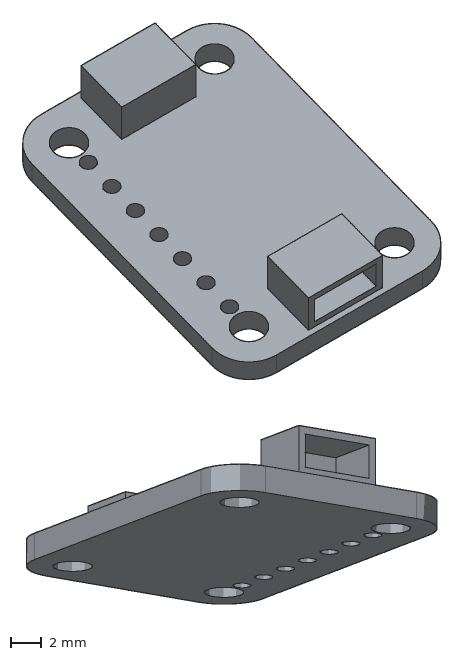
import cadquery as cq

board_length = 25.4
board_width = 17.78
board_thickness = 1.78
total_height = 5.03
corner_radius = 3.0

mount_hole_diameter = 2.55
mount_spacing_x = board_length - 2 * corner_radius
mount_spacing_y = board_width - 2 * corner_radius

pin_count = 7
pin_pitch = 2.55
pin_hole_diameter = 1.17

connector_length = 4.4
connector_width = 6.0
connector_height = total_height - board_thickness
connector_inset = 0.43
connector_wall = 0.5
socket_depth = connector_length - connector_wall


def make_board():
    """Rounded plate with four mounting holes and a row of pin holes."""
    plate = (
        cq.Workplane("XY")
        .rect(board_length, board_width)
        .extrude(board_thickness)
        .edges("|Z")
        .fillet(corner_radius)
    )
    mount_holes = (
        cq.Workplane("XY")
        .rect(mount_spacing_x, mount_spacing_y, forConstruction=True)
        .vertices()
        .circle(mount_hole_diameter / 2)
        .extrude(board_thickness)
    )
    pin_holes = (
        cq.Workplane("XY")
        .center(0, -mount_spacing_y / 2)
        .rarray(pin_pitch, 0.25, pin_count, 1)
        .circle(pin_hole_diameter / 2)
        .extrude(board_thickness)
    )
    return plate.cut(mount_holes).cut(pin_holes)


def make_left_connector():
    """Box on the board with a rectangular socket opening towards -X."""
    outer_x = -board_length / 2 + connector_inset
    housing = (
        cq.Workplane("XY")
        .box(connector_length, connector_width, connector_height, centered=(False, True, False))
    )
    socket_width = connector_width - 2 * connector_wall
    socket_height = connector_height - 2 * connector_wall
    socket = (
        cq.Workplane("XY")
        .box(socket_depth, socket_width, socket_height, centered=(False, True, False))
        .translate((0, 0, connector_wall))
    )
    return housing.cut(socket).translate((outer_x, 0, board_thickness))


left_connector = make_left_connector()
right_connector = left_connector.mirror("YZ")
result = make_board().union(left_connector).union(right_connector)